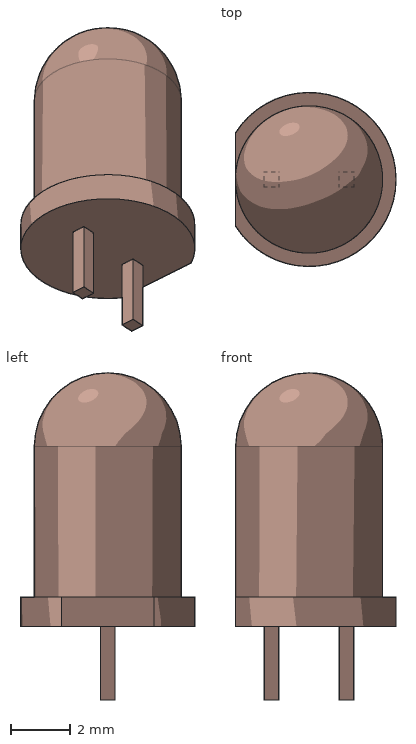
import cadquery as cq

total_height = 11.1
lens_diameter = 5.0
flange_diameter = 5.9
flange_height = 1.0
lead_length = 2.5
lead_width = 0.5
lead_spacing = 2.54

lens_radius = lens_diameter / 2
flange_radius = flange_diameter / 2
top_z = total_height - lead_length
dome_base_z = top_z - lens_radius
flat_x = -lens_radius


def make_lens():
    """Cylinder closed by a hemispherical dome, revolved about Z."""
    dome_middle = (
        lens_radius * 0.5**0.5,
        dome_base_z + lens_radius * 0.5**0.5,
    )
    return (
        cq.Workplane("XZ")
        .lineTo(lens_radius, 0)
        .lineTo(lens_radius, dome_base_z)
        .threePointArc(dome_middle, (0, top_z))
        .close()
        .revolve(360, (0, 0), (0, 1))
    )


def make_flange():
    """Round base disc trimmed by a flat on its -X side."""
    disc = cq.Workplane("XY").circle(flange_radius).extrude(flange_height)
    kept_side = (
        cq.Workplane("XY")
        .box(flange_diameter, flange_diameter, flange_height, centered=(False, True, False))
        .translate((flat_x, 0, 0))
    )
    return disc.intersect(kept_side)


def make_leads():
    """Two square leads hanging below the flange."""
    return (
        cq.Workplane("XY")
        .pushPoints([(-lead_spacing / 2, 0), (lead_spacing / 2, 0)])
        .rect(lead_width, lead_width)
        .extrude(-lead_length)
    )


result = make_flange().union(make_lens()).union(make_leads())